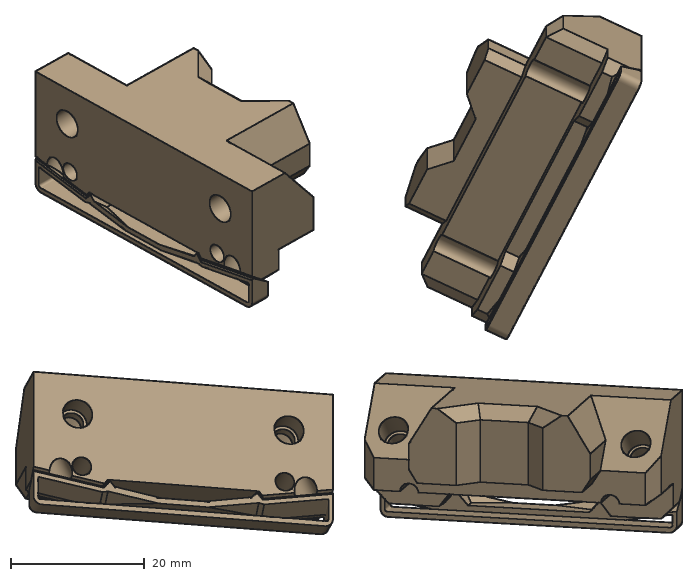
import cadquery as cq
import math

LENGTH = 45.8
HALF = LENGTH / 2
TOP_Z = 21.3
VALLEY_SLOPE = 0.17
CLEAR = 4.6

FOOT_DEPTH = 5.7
FOOT_BOTTOM_Z = 2.6
FOOT_CHAMFER = 1.9

WING_DEPTH = 15.0
WING_BOTTOM_Z = 6.8
WING_CORNER = 1.92
WING_BOTTOM_CHAMFER_HEIGHT = 1.37
WING_SLOPE_START_Y = 7.0
WING_SLOPE_ANGLE = 50.0

TOWER_DEPTH = 21.2
TOWER_BOTTOM_Z = 9.65
TOWER_HALF_WIDTH = 14.0
TOWER_TOP_HALF_WIDTH = 10.55
TOWER_BOTTOM_HALF_WIDTH = 12.75
TOWER_SIDE_TOP_Z = 15.65
TOWER_SIDE_BOTTOM_Z = 11.7

NOTCH_HALF_WIDTH = 3.7
NOTCH_FLOOR_Y = 18.25
NOTCH_BEVEL = 2.05
NOTCH_SIDE_ANGLE = 45.0

CHANNEL_TOP_Z = 4.8
CHANNEL_TOP_HALF_WIDTH = 11.55
CHANNEL_WALL_SLOPE = 1.28

BLOCK_VALLEY_Z = 6.0
BLOCK_VALLEY_FALL = 0.76

THROUGH_HOLE_X = 15.53
THROUGH_HOLE_Z = 6.65
THROUGH_HOLE_DIAMETER = 2.9

BLIND_HOLE_X = 16.15
BLIND_HOLE_Z = 15.0
BLIND_HOLE_DIAMETER = 4.5
BLIND_HOLE_DEPTH = 4.1
DRILL_DIAMETER = 3.5
DRILL_DEPTH = 5.95
DRILL_POINT_ANGLE = 118.0

SLANT_HOLE_X = 18.75
SLANT_HOLE_Y = 11.95
SLANT_HOLE_DIAMETER = 3.5
SLANT_BORE_DIAMETER = 4.5
SLANT_BORE_DEPTH = 4.6

CLIP_DEPTH = 3.45
CLIP_WALL = 0.7
CLIP_FLOOR = 0.82
CLIP_OUTER_RADIUS = 1.25
CLIP_INNER_RADIUS = CLIP_OUTER_RADIUS - CLIP_FLOOR
CEILING_RADIUS = 0.2

CLIP_FALL = 0.67
CLIP_END_Z = 5.25
CLIP_WEB_Z = 2.47
CLIP_WEB_BOTTOM_Z = 1.6
RIDGE_FOOT_X = 12.2
RIDGE_PEAK_X = 11.2
RIDGE_PEAK_Z = 4.6
RIDGE_INNER_X = 10.5
RIDGE_INNER_Z = 3.75
WEB_HALF_WIDTH = 3.3

CLIP_BEVEL_DEPTH = 0.2
CLIP_BEVEL_HEIGHT = 0.27

CEILING_FALL_DEPTH = 2.4
CEILING_END_Z = 4.55
CEILING_STEP_X = 12.35
CEILING_STEP_RUN = 0.82
CEILING_STEP_RISE = 0.2


def box(half_width, y_max, z_min, z_max):
    """Box centred on X that starts at the front plane y = 0."""
    return cq.Workplane("XY").box(
        2 * half_width, y_max, z_max - z_min, centered=(True, False, False)
    ).translate((0, 0, z_min))


def sweep(outline, y_start, travel):
    """Solid made by moving an XZ outline, placed at y_start, along the travel vector."""
    wire = cq.Wire.makePolygon([cq.Vector(x, y_start, z) for x, z in outline], close=True)
    return cq.Workplane(obj=cq.Solid.extrudeLinear(wire, [], cq.Vector(*travel)))


def mirrored(right_side):
    """Full outline, symmetric about X = 0, from the points of its +X half in order."""
    return right_side + [(-x, z) for x, z in reversed(right_side)]


def valley_z(end_z, x):
    """Height at x of a V-shaped line that is end_z high at the end faces."""
    return end_z - VALLEY_SLOPE * (HALF - x)


RIDGE_FOOT_Z = valley_z(CLIP_END_Z, RIDGE_FOOT_X)
RIDGE_OUTER_SLOPE = (RIDGE_PEAK_Z - RIDGE_FOOT_Z) / (RIDGE_FOOT_X - RIDGE_PEAK_X)


def make_foot():
    foot = box(HALF, FOOT_DEPTH, FOOT_BOTTOM_Z, TOP_Z)
    return foot.faces("<Z").edges("|Y").chamfer(FOOT_CHAMFER)


def make_wings():
    wings = box(HALF, WING_DEPTH, WING_BOTTOM_Z, TOP_Z)
    wings = wings.faces(">Y").edges("|Z").chamfer(WING_CORNER)
    side_z = WING_BOTTOM_Z + WING_BOTTOM_CHAMFER_HEIGHT
    bottom_half = HALF - WING_CORNER
    section = mirrored([(bottom_half, WING_BOTTOM_Z), (HALF, side_z), (HALF, TOP_Z)])
    wings = wings.intersect(sweep(section, 0, (0, WING_DEPTH, 0)))
    run = WING_DEPTH - WING_SLOPE_START_Y + CLEAR
    drop = run * math.tan(math.radians(WING_SLOPE_ANGLE))
    slope_cut = (
        cq.Workplane("YZ")
        .moveTo(WING_SLOPE_START_Y, TOP_Z)
        .lineTo(WING_SLOPE_START_Y + run, TOP_Z)
        .lineTo(WING_SLOPE_START_Y + run, TOP_Z - drop)
        .close()
        .extrude(HALF, both=True)
    )
    return wings.cut(slope_cut)


def make_tower():
    section = mirrored([
        (TOWER_BOTTOM_HALF_WIDTH, TOWER_BOTTOM_Z),
        (TOWER_HALF_WIDTH, TOWER_SIDE_BOTTOM_Z),
        (TOWER_HALF_WIDTH, TOWER_SIDE_TOP_Z),
        (TOWER_TOP_HALF_WIDTH, TOP_Z),
    ])
    return sweep(section, 0, (0, TOWER_DEPTH, 0))


def make_notch():
    """Rear notch with oblique sides and a wide bevel around its top edge."""
    bevel_z = TOP_Z - NOTCH_BEVEL
    rear_y = TOWER_DEPTH + CLEAR
    side_angle = math.radians(NOTCH_SIDE_ANGLE)

    def outline(floor_y, half_width):
        rear_half_width = half_width + (rear_y - floor_y) / math.tan(side_angle)
        return [
            (-half_width, floor_y),
            (half_width, floor_y),
            (rear_half_width, rear_y),
            (-rear_half_width, rear_y),
        ]

    lower = outline(NOTCH_FLOOR_Y, NOTCH_HALF_WIDTH)
    top_half_width = NOTCH_HALF_WIDTH + NOTCH_BEVEL * math.tan(side_angle / 2)
    upper = outline(NOTCH_FLOOR_Y - NOTCH_BEVEL, top_half_width)
    notch = cq.Workplane("XY").polyline(lower).close().extrude(TOP_Z)
    bevel = (
        cq.Workplane("XY", origin=(0, 0, bevel_z))
        .polyline(lower)
        .close()
        .workplane(offset=NOTCH_BEVEL)
        .polyline(upper)
        .close()
        .loft(ruled=True)
    )
    return notch.union(bevel)


def make_channel():
    """Channel under the foot, open at the front and rear, that widens downwards."""
    spread = CHANNEL_TOP_Z / CHANNEL_WALL_SLOPE
    section = mirrored([
        (CHANNEL_TOP_HALF_WIDTH + spread, 0),
        (CHANNEL_TOP_HALF_WIDTH, CHANNEL_TOP_Z),
    ])
    return sweep(section, 0, (0, FOOT_DEPTH, 0))


def make_block_valley():
    """Space below the V-shaped underside that falls towards the rear."""
    outer_x = HALF + CLEAR
    outline = [
        (-outer_x, -CLEAR),
        (outer_x, -CLEAR),
        (outer_x, valley_z(BLOCK_VALLEY_Z, outer_x)),
        (0, valley_z(BLOCK_VALLEY_Z, 0)),
        (-outer_x, valley_z(BLOCK_VALLEY_Z, outer_x)),
    ]
    return sweep(outline, 0, (0, FOOT_DEPTH, -BLOCK_VALLEY_FALL * FOOT_DEPTH))


def cylinder(diameter, length, start, direction):
    return cq.Workplane(
        obj=cq.Solid.makeCylinder(diameter / 2, length, cq.Vector(*start), cq.Vector(*direction))
    )


def make_blind_hole(x):
    """Stepped hole in the front face with a drill point at its end."""
    rim = (x, 0, BLIND_HOLE_Z)
    radius = DRILL_DIAMETER / 2
    point_length = radius / math.tan(math.radians(DRILL_POINT_ANGLE / 2))
    point = cq.Solid.makeCone(
        radius, 0, point_length, cq.Vector(x, DRILL_DEPTH, BLIND_HOLE_Z), cq.Vector(0, 1, 0)
    )
    bore = cylinder(BLIND_HOLE_DIAMETER, BLIND_HOLE_DEPTH, rim, (0, 1, 0))
    return bore.union(cylinder(DRILL_DIAMETER, DRILL_DEPTH, rim, (0, 1, 0))).union(point)


def make_slant_hole(x):
    """Counterbored hole square to the sloped wing face that comes out at the lower front."""
    angle = math.radians(WING_SLOPE_ANGLE)
    face_z = TOP_Z - (SLANT_HOLE_Y - WING_SLOPE_START_Y) * math.tan(angle)
    inward = (0, -math.sin(angle), -math.cos(angle))
    start = (0, SLANT_HOLE_Y - CLEAR * inward[1], face_z - CLEAR * inward[2])
    length = SLANT_HOLE_Y / math.sin(angle) + 2 * CLEAR
    bore = cylinder(SLANT_BORE_DIAMETER, CLEAR + SLANT_BORE_DEPTH, start, inward)
    hole = bore.union(cylinder(SLANT_HOLE_DIAMETER, length, start, inward))
    return hole.translate((x, 0, 0))


def make_block():
    block = make_foot().union(make_wings()).union(make_tower())
    block = block.cut(make_notch()).cut(make_channel()).cut(make_block_valley())
    for side in (-1, 1):
        through_start = (side * THROUGH_HOLE_X, 0, THROUGH_HOLE_Z)
        block = block.cut(cylinder(THROUGH_HOLE_DIAMETER, WING_DEPTH, through_start, (0, 1, 0)))
        block = block.cut(make_blind_hole(side * BLIND_HOLE_X))
        block = block.cut(make_slant_hole(side * SLANT_HOLE_X))
    return block


def make_clip_ridges():
    """Straight ridges that run from front to rear inside the block's channel."""
    drop = RIDGE_PEAK_Z - CLIP_WEB_BOTTOM_Z
    crest_outer_x = RIDGE_PEAK_X + CLIP_BEVEL_HEIGHT / RIDGE_OUTER_SLOPE
    inner_slope = (RIDGE_PEAK_Z - RIDGE_INNER_Z) / (RIDGE_PEAK_X - RIDGE_INNER_X)
    ridges = []
    for side in (-1, 1):
        outline = [
            (side * (crest_outer_x + drop / RIDGE_OUTER_SLOPE), CLIP_WEB_BOTTOM_Z),
            (side * crest_outer_x, RIDGE_PEAK_Z),
            (side * RIDGE_PEAK_X, RIDGE_PEAK_Z),
            (side * (RIDGE_PEAK_X - drop / inner_slope), CLIP_WEB_BOTTOM_Z),
        ]
        ridges.append(sweep(outline, 0, (0, CLIP_DEPTH, 0)))
    return ridges


def make_clip_body():
    """Solid clip: rounded bottom, top falling rearwards down to the level of the web."""
    lift = CLIP_BEVEL_HEIGHT + CLIP_FALL * CLIP_BEVEL_DEPTH
    outline = mirrored([
        (HALF, -CLEAR),
        (HALF, CLIP_END_Z + lift),
        (RIDGE_FOOT_X, RIDGE_FOOT_Z + lift),
        (RIDGE_INNER_X, RIDGE_INNER_Z),
        (WEB_HALF_WIDTH, CLIP_WEB_Z),
    ])
    body = sweep(outline, 0, (0, CLIP_DEPTH, -CLIP_FALL * CLIP_DEPTH))
    body = body.union(box(HALF, CLIP_DEPTH, 0, CLIP_WEB_Z))
    for ridge in make_clip_ridges():
        body = body.union(ridge)
    envelope = box(HALF, CLIP_DEPTH, 0, TOP_Z).faces("<Z").edges("|Y").fillet(CLIP_OUTER_RADIUS)
    return body.intersect(envelope)


def make_clip_bevel(side):
    """Wedge above the bevel along the front top edge, from the ridge peak to the end.

    It is twice the size of the bevel, so that it runs out through the clip's top.
    """
    outline = [
        (side * HALF, CLIP_END_Z),
        (side * RIDGE_FOOT_X, RIDGE_FOOT_Z),
        (side * RIDGE_PEAK_X, RIDGE_PEAK_Z),
        (side * RIDGE_PEAK_X, TOP_Z),
        (side * HALF, TOP_Z),
    ]
    return sweep(outline, 0, (0, 2 * CLIP_BEVEL_DEPTH, 2 * CLIP_BEVEL_HEIGHT))


def make_clip_opening():
    """Opening from front to rear under the clip's top, with small corner fillets."""
    half_width = HALF - CLIP_WALL
    step_z = valley_z(CEILING_END_Z, CEILING_STEP_X)
    inner_x = CEILING_STEP_X - CEILING_STEP_RUN
    inner_z = step_z + CEILING_STEP_RISE
    flat_x = inner_x - (inner_z - CLIP_WEB_BOTTOM_Z) / VALLEY_SLOPE
    outline = mirrored([
        (half_width, -CLEAR),
        (half_width, valley_z(CEILING_END_Z, half_width)),
        (CEILING_STEP_X, step_z),
        (inner_x, inner_z),
        (flat_x, CLIP_WEB_BOTTOM_Z),
    ])
    level_outline = [(x, z - CLIP_FALL * CEILING_FALL_DEPTH) for x, z in outline]
    opening = sweep(outline, 0, (0, CEILING_FALL_DEPTH, -CLIP_FALL * CEILING_FALL_DEPTH))
    level_depth = CLIP_DEPTH - CEILING_FALL_DEPTH
    opening = opening.union(sweep(level_outline, CEILING_FALL_DEPTH, (0, level_depth, 0)))
    opening = opening.union(box(half_width, CLIP_DEPTH, CLIP_FLOOR, CLIP_WEB_BOTTOM_Z))
    opening = opening.intersect(box(half_width, CLIP_DEPTH, CLIP_FLOOR, TOP_Z))
    for side in ("<X", ">X"):
        opening = opening.faces(side).edges("(not |Z) and (not <Z)").fillet(CEILING_RADIUS)
    return opening.faces("<Z").edges("|Y").fillet(CLIP_INNER_RADIUS)


def make_clip():
    clip = make_clip_body()
    for side in (-1, 1):
        clip = clip.cut(make_clip_bevel(side))
    return clip.cut(make_clip_opening())


block = make_block()
clip = make_clip()
result = cq.Compound.makeCompound([block.solids().val(), clip.solids().val()])